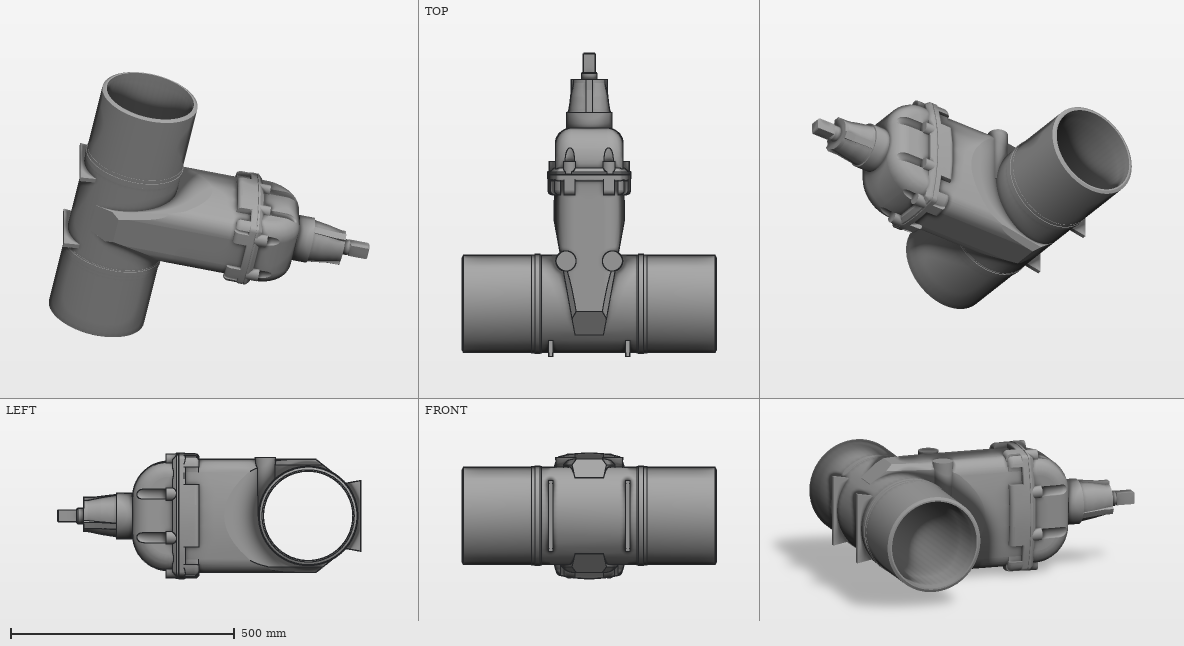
import cadquery as cq
import math


pipe_length = 570.0
pipe_dia = 219.0
bore_dia = 200.0
pipe_end_bevel_depth = 6.0
pipe_end_bevel_angle = 30
sleeve_dia = 220.0
sleeve_start = 107.0
sleeve_end = 130.0
weld_ring_dia = 223.0
weld_ring_start = 110.0
weld_ring_end = 121.0

foot_offset = 86.5
foot_thickness = 9.5
foot_base_y = -118.0
foot_base_half_height = 79.5
foot_pipe_half_height = 73.0
foot_pipe_y = -81.5

body_half_width = 79.0
body_half_height = 127.0
body_flat_half_width = 33.0
body_shoulder_x = 69.0
body_shoulder_z = 98.0
body_shoulder_bulge = 8.0
body_toe_y = -69.5
body_toe_half_width = 32.0
body_toe_z = 86.0
body_slope_start_y = -17.0
body_taper_start_y = 187.5
taper_overrun = 34
ridge_draft_z = 114.0
ridge_draft_angle = 43

throat_y = 246.0
throat_half_height = 109.5

pillar_x = 52.5
pillar_y = 96.0
pillar_top_z = 131.0
pillar_top_dia = 45.5
pillar_base_dia = 41.5

flange_half_width = 93.0
flange_height = 282.0
flange_half_height = flange_height / 2
flange_corner_x = 71.5
flange_corner_z = 132.0
flange_corner_radius = 11.0
body_flange_y = 275.5
joint_y = 289.0
joint_gap = 2.0
joint_inset = 2.0
bonnet_flange_y = 304.0
bonnet_flange_chamfer = 9.0
body_flange_rounding = 3.0

skirt_y = 244.0
skirt_rounding = 10.0
skirt_corner_radius = 27
side_skirt_half_height = 70.0
corner_skirt_start_x = 32.0
corner_skirt_start_z = 109.5
corner_slot_start_x = 56.5
corner_slot_end_x = 64.0

bonnet_half_width = 76.0
bonnet_half_height = 123.0
bonnet_top_y = 394.0
bonnet_crown_radius = 82.0
bonnet_edge_radius = 36.0

side_bolt = (76.0, 49.0)
end_bolt = (44.0, 125.0)
bolt_boss_dia = 28.0
bolt_boss_top_y = 319.0
bolt_groove_dia = 23.0

neck_dia = 103.0
neck_top_y = 429.0
housing_base_radius = 47.5
housing_shoulder_y = 433.0
housing_shoulder_radius = 46.0
housing_middle_y = 464.0
housing_middle_radius = 41.5
housing_rim_y = 494.0
housing_top_radius = 35.5
housing_top_y = 503.0
rib_width = 15.5
rib_top_radius = 42.0
rib_base_radius = 48.0
rib_bend_y = 478.0
rib_angles = (90, 210, 330)
collar_dia = 35.5
collar_top_y = 519.0
collar_chamfer = 3.0
spindle_side = 27.0
spindle_chamfer = 2.0
overall_length = 680
spindle_top_y = foot_base_y + overall_length


def mirrored_x(shape):
    return shape.union(shape.mirror("YZ"))


def mirrored_xz(shape):
    half = mirrored_x(shape)
    return half.union(half.mirror("XY"))


def plane_at(y):
    """XZ plane at height y whose normal points along +Y and local x along +X."""
    return cq.Plane(origin=(0, y, 0), xDir=(1, 0, 0), normal=(0, 1, 0))


def disc_along_y(dia, start_y, end_y, x=0, z=0):
    return cq.Workplane(plane_at(start_y)).center(x, -z).circle(dia / 2).extrude(end_y - start_y)


def box_between(x0, x1, y0, y1, z0, z1):
    return cq.Workplane("XY").box(x1 - x0, y1 - y0, z1 - z0, centered=False).translate((x0, y0, z0))


def rod_along_x(dia, start_x, end_x):
    seam_down = cq.Plane(origin=(start_x, 0, 0), xDir=(0, -1, 0), normal=(1, 0, 0))
    return cq.Workplane(seam_down).circle(dia / 2).extrude(end_x - start_x)


def make_pipe():
    pipe = rod_along_x(pipe_dia, -pipe_length / 2, pipe_length / 2)
    bevel_length = pipe_end_bevel_depth * math.tan(math.radians(pipe_end_bevel_angle))
    pipe = pipe.faces("<X or >X").chamfer(bevel_length, pipe_end_bevel_depth)
    pipe = pipe.union(mirrored_x(rod_along_x(sleeve_dia, sleeve_start, sleeve_end)))
    return pipe.union(mirrored_x(rod_along_x(weld_ring_dia, weld_ring_start, weld_ring_end)))


def make_feet():
    outline = [
        (foot_base_y, -foot_base_half_height),
        (foot_base_y, foot_base_half_height),
        (foot_pipe_y, foot_pipe_half_height),
        (foot_pipe_y, -foot_pipe_half_height),
    ]
    foot = cq.Workplane("YZ", origin=(foot_offset - foot_thickness / 2, 0, 0))
    return mirrored_x(foot.polyline(outline).close().extrude(foot_thickness))


def make_body():
    chord_x = body_shoulder_x - body_flat_half_width
    chord_z = body_half_height - body_shoulder_z
    chord = math.hypot(chord_x, chord_z)
    middle_x = (body_flat_half_width + body_shoulder_x) / 2 + body_shoulder_bulge * chord_z / chord
    middle_z = (body_half_height + body_shoulder_z) / 2 + body_shoulder_bulge * chord_x / chord
    section = (
        cq.Workplane(plane_at(body_toe_y))
        .moveTo(-body_flat_half_width, body_half_height)
        .lineTo(body_flat_half_width, body_half_height)
        .threePointArc((middle_x, middle_z), (body_shoulder_x, body_shoulder_z))
        .threePointArc((body_half_width, 0), (body_shoulder_x, -body_shoulder_z))
        .threePointArc((middle_x, -middle_z), (body_flat_half_width, -body_half_height))
        .lineTo(-body_flat_half_width, -body_half_height)
        .threePointArc((-middle_x, -middle_z), (-body_shoulder_x, -body_shoulder_z))
        .threePointArc((-body_half_width, 0), (-body_shoulder_x, body_shoulder_z))
        .threePointArc((-middle_x, middle_z), (-body_flat_half_width, body_half_height))
        .close()
    )
    body = section.extrude(joint_y - body_toe_y)

    toe_outline = [
        (joint_y, body_half_height),
        (body_slope_start_y, body_half_height),
        (body_toe_y, body_toe_z),
        (body_toe_y, -body_toe_z),
        (body_slope_start_y, -body_half_height),
        (joint_y, -body_half_height),
    ]
    side_limit = cq.Workplane("YZ").polyline(toe_outline).close().extrude(body_half_width, both=True)

    wedge_slope = (body_half_width - body_toe_half_width) / (body_taper_start_y - body_toe_y)
    wedge_low_y = body_toe_y - taper_overrun
    wedge_high_y = joint_y + taper_overrun
    low_half = body_toe_half_width - wedge_slope * taper_overrun
    high_half = low_half + wedge_slope * (wedge_high_y - wedge_low_y)
    wedge_outline = [
        (-low_half, wedge_low_y),
        (low_half, wedge_low_y),
        (high_half, wedge_high_y),
        (-high_half, wedge_high_y),
    ]
    wedge = cq.Workplane("XY").polyline(wedge_outline).close().extrude(ridge_draft_z, both=True)
    flank = cq.Workplane("XY", origin=(0, 0, ridge_draft_z)).polyline(wedge_outline).close()
    flank = flank.extrude(body_half_height - ridge_draft_z, taper=ridge_draft_angle)
    wedge = wedge.union(flank).union(flank.mirror("XY"))
    return body.intersect(side_limit).intersect(wedge)


def make_throat():
    return box_between(-body_shoulder_x, body_shoulder_x, throat_y, body_flange_y,
                       -throat_half_height, throat_half_height)


def make_pillars():
    pillar = (
        cq.Workplane("XY", origin=(pillar_x, pillar_y, 0))
        .circle(pillar_base_dia / 2)
        .workplane(offset=pillar_top_z)
        .circle(pillar_top_dia / 2)
        .loft()
    )
    return mirrored_x(pillar)


def flange_plate(start_y, end_y, inset=0, corner_radius=flange_corner_radius):
    plate = (
        cq.Workplane(plane_at(start_y))
        .moveTo(-flange_corner_x, flange_corner_z)
        .threePointArc((0, flange_half_height), (flange_corner_x, flange_corner_z))
        .threePointArc((flange_half_width, 0), (flange_corner_x, -flange_corner_z))
        .threePointArc((0, -flange_half_height), (-flange_corner_x, -flange_corner_z))
        .threePointArc((-flange_half_width, 0), (-flange_corner_x, flange_corner_z))
        .close()
    )
    if inset:
        plate = plate.offset2D(-inset)
    return plate.extrude(end_y - start_y).edges("|Y").fillet(corner_radius)


def make_flanges():
    body_flange = flange_plate(body_flange_y, joint_y).faces("<Y").edges().fillet(body_flange_rounding)
    gasket = flange_plate(joint_y, joint_y + joint_gap, joint_inset)
    bonnet_flange = flange_plate(joint_y + joint_gap, bonnet_flange_y)
    bonnet_flange = bonnet_flange.faces(">Y").chamfer(bonnet_flange_chamfer)
    return body_flange.union(gasket).union(bonnet_flange)


def make_skirts():
    skirt_top_y = body_flange_y + body_flange_rounding
    skirt = flange_plate(skirt_y, skirt_top_y, corner_radius=skirt_corner_radius)
    skirt = skirt.faces("<Y").edges().fillet(skirt_rounding)
    side_keep = box_between(0, flange_half_width, skirt_y, skirt_top_y,
                            -side_skirt_half_height, side_skirt_half_height)
    corner_keep = box_between(corner_skirt_start_x, flange_half_width, skirt_y, skirt_top_y,
                              corner_skirt_start_z, flange_half_height)
    corner_slot = box_between(corner_slot_start_x, corner_slot_end_x, skirt_y, skirt_top_y,
                              corner_skirt_start_z, flange_half_height)
    keep = mirrored_x(side_keep).union(mirrored_xz(corner_keep.cut(corner_slot)))
    return skirt.intersect(keep)


def make_bonnet():
    bonnet = box_between(-bonnet_half_width, bonnet_half_width, joint_y + joint_gap, bonnet_top_y,
                         -bonnet_half_height, bonnet_half_height)
    bonnet = bonnet.edges("|X and >Y").fillet(bonnet_crown_radius)
    return bonnet.faces("<X or >X").edges("not <Y").fillet(bonnet_edge_radius)


def bolt_set(dia, start_y, end_y):
    side = disc_along_y(dia, start_y, end_y, *side_bolt)
    end = disc_along_y(dia, start_y, end_y, *end_bolt)
    return mirrored_xz(side.union(end))


def make_stem_housing():
    neck = disc_along_y(neck_dia, bonnet_top_y, neck_top_y)
    core_outline = [
        (0, neck_top_y),
        (housing_base_radius, neck_top_y),
        (housing_shoulder_radius, housing_shoulder_y),
        (housing_middle_radius, housing_middle_y),
        (housing_top_radius, housing_rim_y),
        (housing_top_radius, housing_top_y),
        (0, housing_top_y),
    ]
    core = cq.Workplane("XY").polyline(core_outline).close().revolve()
    rib_outline = [
        (neck_top_y, 0),
        (neck_top_y, rib_base_radius),
        (rib_bend_y, rib_top_radius),
        (housing_top_y, rib_top_radius),
        (housing_top_y, 0),
    ]
    rib = cq.Workplane("YZ").polyline(rib_outline).close().extrude(rib_width / 2, both=True)
    housing = neck.union(core)
    for angle in rib_angles:
        housing = housing.union(rib.rotate((0, 0, 0), (0, 1, 0), angle - 90))
    return housing


def make_spindle():
    collar = disc_along_y(collar_dia, housing_top_y, collar_top_y).faces(">Y").chamfer(collar_chamfer)
    square = cq.Workplane(plane_at(collar_top_y)).rect(spindle_side, spindle_side)
    square = square.extrude(spindle_top_y - collar_top_y).faces(">Y").chamfer(spindle_chamfer)
    return collar.union(square)


bonnet = make_bonnet().cut(bolt_set(bolt_groove_dia, bolt_boss_top_y, bonnet_top_y))

result = make_pipe().union(make_body())
for piece in (
    make_pillars(),
    make_feet(),
    make_throat(),
    make_flanges(),
    make_skirts(),
    bonnet,
    bolt_set(bolt_boss_dia, joint_y + joint_gap, bolt_boss_top_y),
    make_stem_housing(),
    make_spindle(),
):
    result = result.union(piece)
result = result.cut(rod_along_x(bore_dia, -pipe_length / 2, pipe_length / 2))